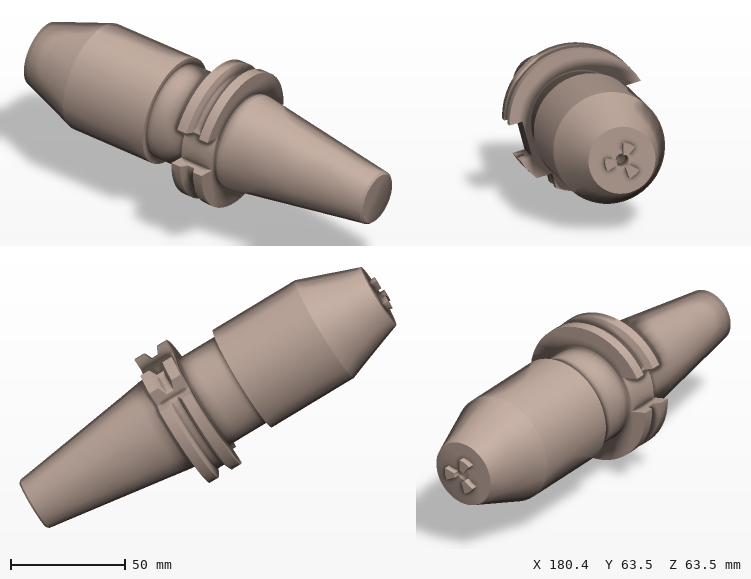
import cadquery as cq
import math


FACE_X = 2.9
CONE_END_X = 30.7
SLEEVE_END_X = 72.9
FLANGE_X = 92.7
GROOVE_X = 97.5
GROOVE_FLOOR_X = 99.0
GROOVE_FLOOR_END_X = 102.5
GROOVE_END_X = 104.3
FLANGE_END_X = 108.8
TAPER_COLLAR_X = 110.2
TAPER_X = 112.0
TOTAL_LENGTH = 180.4

FACE_R = 15.0
SLEEVE_R = 50.0 / 2
NECK_R = 22.0
FLANGE_R = 63.5 / 2
GROOVE_R = 28.1
RELIEF_R = 21.8
TAPER_R = 44.4 / 2
TAPER_SLOPE = 7 / 48
TAIL_CHAMFER = 0.9
NECK_FILLET = 0.7

NOTCH_TURN = -15.0
SLOT_NARROW_SIDE = 7.2
SLOT_WIDE_SIDE = 9.0
ROUND_SLOT_FLOOR_R = 24.0
FLAT_SLOT_FLOOR = 24.9
CORNER_ACROSS = 18.2
CORNER_BELOW = 19.1

JAW_COUNT = 3
JAW_R = 8.1
JAW_ANGLE = 40.0
JAW_START_ANGLE = 90.0
HUB_R = 6.0 / 2
BORE_END_X = 10.1
DRILL_POINT_DEPTH = 1.8
SEAT_X = 14.5


def cylinder(radius, start, end):
    return cq.Workplane("YZ").workplane(offset=start).circle(radius).extrude(end - start)


def flange_box(y_min, y_max, z_min, z_max):
    """Block as long as the flange, turned into the direction of the notches."""
    block = cq.Workplane("XY").box(
        FLANGE_END_X - FLANGE_X, y_max - y_min, z_max - z_min, centered=False
    )
    block = block.translate((FLANGE_X, y_min, z_min))
    return block.rotate((0, 0, 0), (1, 0, 0), NOTCH_TURN)


def make_arbor():
    """Neck, grooved flange and taper, with two drive slots and a corner notch."""
    chamfer_x = TOTAL_LENGTH - TAIL_CHAMFER
    tail_r = TAPER_R - TAPER_SLOPE * (chamfer_x - TAPER_X)
    fillet_mid = NECK_FILLET * (1 - math.sqrt(0.5))
    arbor = (
        cq.Workplane("XY")
        .moveTo(SLEEVE_END_X, 0)
        .lineTo(SLEEVE_END_X, NECK_R)
        .lineTo(FLANGE_X - NECK_FILLET, NECK_R)
        .threePointArc(
            (FLANGE_X - fillet_mid, NECK_R + fillet_mid), (FLANGE_X, NECK_R + NECK_FILLET)
        )
        .lineTo(FLANGE_X, FLANGE_R)
        .lineTo(GROOVE_X, FLANGE_R)
        .lineTo(GROOVE_FLOOR_X, GROOVE_R)
        .lineTo(GROOVE_FLOOR_END_X, GROOVE_R)
        .lineTo(GROOVE_END_X, FLANGE_R)
        .lineTo(FLANGE_END_X, FLANGE_R)
        .lineTo(FLANGE_END_X, RELIEF_R)
        .lineTo(TAPER_COLLAR_X, RELIEF_R)
        .lineTo(TAPER_COLLAR_X, TAPER_R)
        .lineTo(TAPER_X, TAPER_R)
        .lineTo(chamfer_x, tail_r)
        .lineTo(TOTAL_LENGTH, tail_r - TAIL_CHAMFER)
        .lineTo(TOTAL_LENGTH, 0)
        .close()
        .revolve(360, (0, 0, 0), (1, 0, 0))
    )
    round_slot = flange_box(-FLANGE_R, 0, -SLOT_NARROW_SIDE, SLOT_WIDE_SIDE)
    round_slot = round_slot.cut(cylinder(ROUND_SLOT_FLOOR_R, FLANGE_X, FLANGE_END_X))
    flat_slot = flange_box(FLAT_SLOT_FLOOR, FLANGE_R, -SLOT_WIDE_SIDE, SLOT_NARROW_SIDE)
    corner = flange_box(CORNER_ACROSS, FLANGE_R, -FLANGE_R, -CORNER_BELOW)
    return arbor.cut(round_slot).cut(flat_slot).cut(corner)


def make_jaw_set():
    """Three sector jaws joined by a hub behind the central bore."""
    jaws = cylinder(HUB_R, BORE_END_X, SEAT_X)
    for index in range(JAW_COUNT):
        start = JAW_START_ANGLE + index * 360 / JAW_COUNT
        rim = [
            (JAW_R * math.cos(math.radians(angle)), JAW_R * math.sin(math.radians(angle)))
            for angle in (start, start + JAW_ANGLE / 2, start + JAW_ANGLE)
        ]
        jaw = (
            cq.Workplane("YZ")
            .moveTo(0, 0)
            .lineTo(*rim[0])
            .threePointArc(rim[1], rim[2])
            .close()
            .extrude(SEAT_X)
        )
        jaws = jaws.union(jaw)
    drill_point = (
        cq.Workplane("XY")
        .polyline([(BORE_END_X, 0), (BORE_END_X, HUB_R), (BORE_END_X + DRILL_POINT_DEPTH, 0)])
        .close()
        .revolve(360, (0, 0, 0), (1, 0, 0))
    )
    return jaws.cut(cylinder(HUB_R, 0, BORE_END_X)).cut(drill_point)


def make_sleeve(jaw_set):
    """Conical-nosed sleeve with a seat that matches the jaw set."""
    sleeve = (
        cq.Workplane("XY")
        .polyline([
            (FACE_X, 0),
            (FACE_X, FACE_R),
            (CONE_END_X, SLEEVE_R),
            (SLEEVE_END_X, SLEEVE_R),
            (SLEEVE_END_X, 0),
        ])
        .close()
        .revolve(360, (0, 0, 0), (1, 0, 0))
    )
    bore = cylinder(HUB_R, FACE_X, SEAT_X)
    return sleeve.cut(jaw_set).cut(bore)


arbor = make_arbor()
jaw_set = make_jaw_set()
sleeve = make_sleeve(jaw_set)

result = cq.Compound.makeCompound([arbor.val(), sleeve.val(), jaw_set.val()])